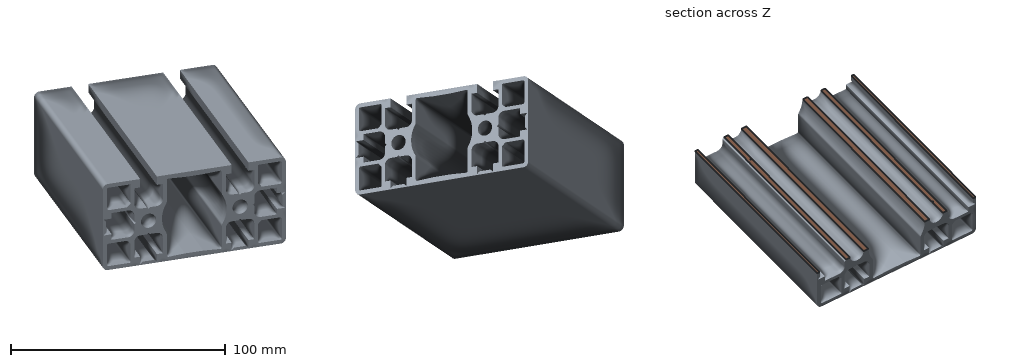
import cadquery as cq

length = 100.0
width = 90.0
height = 45.0
corner_radius = 2.5
wall = 2.0
small_fillet = 0.7

core_offset = (width - height) / 2
core_hole_diameter = 7.4

slot_reach = height / 2
slot_floor = 7.0
slot_half_width = 7.0
slot_half_opening = 4.1
lip_thickness = 4.4
slot_fillet = 3.0
groove_half_width = 0.7
groove_depth = 0.8

cover_thickness = 1.6
notch_web = 0.5
notch_width = 1.3

chamber_size = 11.75
chamber_chamfer = 1.8
chamber_side_fillet = 1.0

centre_half_width = 13.5
centre_half_waist = 15.9
waist_half_height = 8.0
waist_blend_radius = 2.4
thick_wall = 2.5
thick_wall_half_width = 4.5


def extrude_section(sketch):
    """Close an open outline and extrude it over the full length."""
    return sketch.close().extrude(length)


def section_plane():
    """Section plane with local x along +Y and local y along +Z, centred on the part."""
    return cq.Workplane("YZ", origin=(-length / 2, 0, 0))


def make_body():
    body = section_plane().rect(width, height).extrude(length)
    return body.edges("|X").fillet(corner_radius)


def make_slot(closed):
    """T-slot opening towards +Z from a core axis at the origin."""
    lip = slot_reach - lip_thickness
    cavity = (
        section_plane()
        .center(0, (slot_floor + lip) / 2)
        .rect(2 * slot_half_width, lip - slot_floor)
        .extrude(length)
    )
    cavity = cavity.faces("<Z").edges("|X").fillet(slot_fillet)
    groove = extrude_section(
        section_plane()
        .moveTo(-groove_half_width, slot_floor)
        .lineTo(0, slot_floor - groove_depth)
        .lineTo(groove_half_width, slot_floor)
    )
    opening = make_closed_opening(lip) if closed else make_open_opening(lip)
    return cavity.union(groove).union(opening)


def make_open_opening(lip):
    """Opening between the slot lips, through to the outside."""
    return (
        section_plane()
        .center(0, (lip + slot_reach) / 2)
        .rect(2 * slot_half_opening, slot_reach - lip)
        .extrude(length)
    )


def make_closed_opening(lip):
    """Opening between the slot lips that stops at the cover and its edge notches."""
    cover = slot_reach - cover_thickness
    notch_bottom = slot_reach - notch_web
    cover_half_width = slot_half_opening - notch_width
    return extrude_section(
        section_plane()
        .moveTo(-slot_half_opening, lip)
        .lineTo(-slot_half_opening, notch_bottom)
        .lineTo(-cover_half_width, cover)
        .lineTo(cover_half_width, cover)
        .lineTo(slot_half_opening, notch_bottom)
        .lineTo(slot_half_opening, lip)
    )


def make_corner_chamber():
    """Chamber in the +Y +Z corner of the profile."""
    outer_y = width / 2 - wall
    outer_z = height / 2 - wall
    inner_y = outer_y - chamber_size
    inner_z = outer_z - chamber_size
    chamber = extrude_section(
        section_plane()
        .moveTo(inner_y + chamber_chamfer, inner_z)
        .lineTo(outer_y, inner_z)
        .lineTo(outer_y, outer_z)
        .lineTo(inner_y, outer_z)
        .lineTo(inner_y, inner_z + chamber_chamfer)
    )
    chamber = chamber.edges("|X").edges(">Y").edges("<Z").fillet(chamber_side_fillet)
    return chamber.edges("|X").edges(">Z").fillet(small_fillet)


def make_centre_chamber():
    """Central chamber with arched sides; top and bottom walls taper to a thicker middle."""
    ceiling = height / 2 - wall
    thick_ceiling = height / 2 - thick_wall
    chamber = extrude_section(
        section_plane()
        .moveTo(centre_half_width, -ceiling)
        .lineTo(centre_half_width, -waist_half_height)
        .threePointArc((centre_half_waist, 0), (centre_half_width, waist_half_height))
        .lineTo(centre_half_width, ceiling)
        .lineTo(thick_wall_half_width, thick_ceiling)
        .lineTo(-thick_wall_half_width, thick_ceiling)
        .lineTo(-centre_half_width, ceiling)
        .lineTo(-centre_half_width, waist_half_height)
        .threePointArc((-centre_half_waist, 0), (-centre_half_width, -waist_half_height))
        .lineTo(-centre_half_width, -ceiling)
        .lineTo(-thick_wall_half_width, -thick_ceiling)
        .lineTo(thick_wall_half_width, -thick_ceiling)
    )
    waist_region = cq.selectors.BoxSelector(
        (-length, -width, -waist_half_height - wall),
        (length, width, waist_half_height + wall),
    )
    chamber = chamber.edges("|X").edges(waist_region).fillet(waist_blend_radius)
    chamber = chamber.edges("|X").edges(">Z").fillet(small_fillet)
    return chamber.edges("|X").edges("<Z").fillet(small_fillet)


def make_side_cuts():
    """Everything removed on the +Y side: core hole, three slots and two chambers."""
    closed_slot = make_slot(closed=True)
    top_slot = make_slot(closed=False)
    bottom_slot = closed_slot.mirror("XY")
    side_slot = closed_slot.rotate((0, 0, 0), (1, 0, 0), -90)
    core_hole = section_plane().circle(core_hole_diameter / 2).extrude(length)
    chamber = make_corner_chamber()
    around_core = [top_slot, bottom_slot, side_slot, core_hole]
    placed = [cut.translate((0, core_offset, 0)) for cut in around_core]
    return placed + [chamber, chamber.mirror("XY")]


result = make_body().cut(make_centre_chamber())
for side_cut in make_side_cuts():
    result = result.cut(side_cut).cut(side_cut.mirror("XZ"))